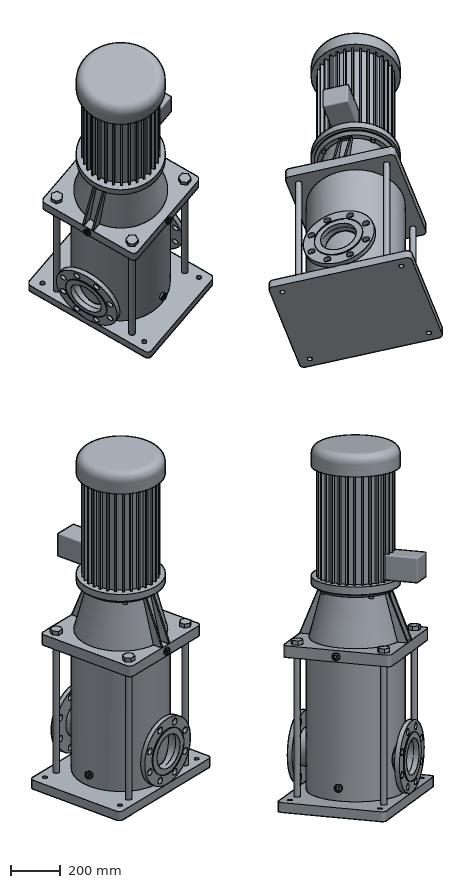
import cadquery as cq


base_length = 600.0
base_width = 462.0
base_thickness = 41.0
corner_radius = 20.0
base_hole_diameter = 20.0
base_hole_x = 250.0
base_hole_y = 193.0

sleeve_diameter = 400.0
rod_diameter = 27.0
rod_offset = 185.0
head_bottom = 630.0
head_top = 679.0
bolt_corner_diameter = 50.0
bolt_head_height = 18.0

port_height = 199.0
port_face = 245.0
raised_face_diameter = 203.0
raised_face_height = 5.0
flange_diameter = 300.0
flange_thickness = 21.0
pipe_diameter = 159.0
bore_diameter = 150.0
flange_hole_diameter = 28.0
flange_hole_circle = 249.0
flange_hole_count = 8

plug_boss_diameter = 28.0
plug_collar_diameter = 33.0
plug_pin_diameter = 15.0
plug_boss_length = 6.0
plug_collar_length = 3.0
plug_pin_length = 6.0
plug_root = 15.0
drain_plug_height = 98.0
drain_plug_standoff = 5.0

stool_base_diameter = 380.0
stool_top_diameter = 273.0
rib_thickness = 7.0
rib_outer_spacing = 53.0
rib_top_reach = 147.0
lug_height = 7.0

motor_bottom = 883.0
collar_bottom = 901.0
collar_top = 934.0
cap_bottom = 1393.0
motor_top = 1482.0
motor_diameter = 360.0
skirt_diameter = 335.0
skirt_bottom_diameter = 310.0
skirt_rim_height = 6.0
cap_fillet = 39.0
core_diameter = 288.0
fin_outer_diameter = 317.0
fin_thickness = 7.0
fin_count = 30
screw_diameter = 20.0
screw_offset = 104.0
screw_projection = 9.0

box_width = 107.0
box_bottom = 940.0
box_height = 105.0
box_reach = 285.0
box_fillet = 6.0


def disc(diameter, bottom, top):
    """Cylinder on the shaft axis."""
    return cq.Workplane("XY").workplane(offset=bottom).circle(diameter / 2).extrude(top - bottom)


def taper(bottom_diameter, top_diameter, bottom, top):
    """Cone frustum on the shaft axis."""
    outline = [(0, bottom), (bottom_diameter / 2, bottom), (top_diameter / 2, top), (0, top)]
    return cq.Workplane("XZ").polyline(outline).close().revolve(360, (0, 0, 0), (0, 1, 0))


def plate(length, width, bottom, top):
    """Flat plate with rounded corners."""
    blank = cq.Workplane("XY").workplane(offset=bottom).rect(length, width).extrude(top - bottom)
    return blank.edges("|Z").fillet(corner_radius)


def make_base():
    return (
        plate(base_length, base_width, 0, base_thickness)
        .faces(">Z")
        .workplane()
        .rect(2 * base_hole_x, 2 * base_hole_y, forConstruction=True)
        .vertices()
        .hole(base_hole_diameter)
    )


def make_pump_body():
    body = disc(sleeve_diameter, base_thickness, head_bottom)
    body = body.union(plate(base_width, base_width, head_bottom, head_top))
    rods = (
        cq.Workplane("XY")
        .workplane(offset=base_thickness)
        .rect(2 * rod_offset, 2 * rod_offset, forConstruction=True)
        .vertices()
        .circle(rod_diameter / 2)
        .extrude(head_bottom - base_thickness)
    )
    body = body.union(rods)
    for side, turn in ((-1, 0), (1, 90)):
        for end in (-1, 1):
            head = (
                cq.Workplane("XY")
                .polygon(6, bolt_corner_diameter)
                .extrude(bolt_head_height)
                .rotate((0, 0, 0), (0, 0, 1), turn)
                .translate((side * rod_offset, end * rod_offset, head_top))
            )
            body = body.union(head)
    return body


def make_port():
    """Flanged port on -Y, with the bore running in to the sleeve wall."""

    def ring(diameter, start, length):
        plane = cq.Workplane("XZ", origin=(0, -start, port_height))
        return plane.circle(diameter / 2).extrude(length)

    flange_front = port_face - raised_face_height
    flange_back = flange_front - flange_thickness
    port = ring(pipe_diameter, 0, flange_front)
    port = port.union(ring(flange_diameter, flange_back, flange_thickness))
    port = port.union(ring(raised_face_diameter, flange_front, raised_face_height))
    bolt_holes = (
        cq.Workplane("XZ", origin=(0, -flange_back, port_height))
        .polarArray(flange_hole_circle / 2, 180 / flange_hole_count, 360, flange_hole_count)
        .circle(flange_hole_diameter / 2)
        .extrude(flange_thickness)
    )
    bore = ring(bore_diameter, 0, port_face)
    sleeve = disc(sleeve_diameter, base_thickness, head_bottom)
    return port.cut(bolt_holes).cut(bore.cut(sleeve))


def make_plug(reach, height, angle):
    """Screw plug pointing outwards at the given angle about the shaft, seated at the given reach."""

    def stage(diameter, start, length):
        return cq.Workplane("YZ").workplane(offset=start).circle(diameter / 2).extrude(length)

    collar_start = reach + plug_boss_length
    pin_start = collar_start + plug_collar_length
    plug = stage(plug_boss_diameter, reach - plug_root, plug_root + plug_boss_length)
    plug = plug.union(stage(plug_collar_diameter, collar_start, plug_collar_length))
    plug = plug.union(stage(plug_pin_diameter, pin_start, plug_pin_length))
    return plug.translate((0, 0, height)).rotate((0, 0, 0), (0, 0, 1), angle)


def make_stool():
    stool = taper(stool_base_diameter, stool_top_diameter, head_top, motor_bottom)
    rib_outline = [
        (-base_width / 2, head_top),
        (base_width / 2, head_top),
        (rib_top_reach, motor_bottom),
        (-rib_top_reach, motor_bottom),
    ]
    inner_face = rib_outer_spacing / 2 - rib_thickness
    for start in (inner_face, -inner_face - rib_thickness):
        web = cq.Workplane("YZ").workplane(offset=start).polyline(rib_outline).close().extrude(rib_thickness)
        stool = stool.union(web)
    lug = (
        cq.Workplane("XY")
        .workplane(offset=motor_bottom - lug_height)
        .rect(2 * inner_face, 2 * rib_top_reach)
        .extrude(lug_height)
    )
    return stool.union(lug)


def make_motor():
    rim_bottom = collar_bottom - skirt_rim_height
    motor = taper(skirt_bottom_diameter, skirt_diameter, motor_bottom, rim_bottom)
    motor = motor.union(disc(skirt_diameter, rim_bottom, collar_bottom))
    motor = motor.union(disc(motor_diameter, collar_bottom, collar_top))
    motor = motor.union(disc(core_diameter, collar_top, cap_bottom))
    cap = disc(motor_diameter, cap_bottom, motor_top).faces(">Z").edges().fillet(cap_fillet)
    motor = motor.union(cap)

    for index in range(fin_count // 2):
        bar = (
            cq.Workplane("XY")
            .workplane(offset=collar_top)
            .rect(fin_thickness, fin_outer_diameter)
            .extrude(cap_bottom - collar_top)
            .rotate((0, 0, 0), (0, 0, 1), index * 360 / fin_count)
        )
        motor = motor.union(bar)

    screws = (
        cq.Workplane("XY")
        .workplane(offset=motor_bottom - screw_projection)
        .rect(2 * screw_offset, 2 * screw_offset, forConstruction=True)
        .vertices()
        .circle(screw_diameter / 2)
        .extrude(collar_bottom - motor_bottom + screw_projection)
    )
    return motor.union(screws)


def make_terminal_box():
    return (
        cq.Workplane("XY")
        .workplane(offset=box_bottom)
        .center(0, box_reach / 2)
        .rect(box_width, box_reach)
        .extrude(box_height)
        .edges(">Y or (|Y and (>X or <X))")
        .fillet(box_fillet)
    )


result = make_base().union(make_pump_body())

port = make_port()
for angle in (0, 180):
    result = result.union(port.rotate((0, 0, 0), (0, 0, 1), angle))

drain_reach = sleeve_diameter / 2 + drain_plug_standoff
for angle in (0, 180):
    result = result.union(make_plug(drain_reach, drain_plug_height, angle))
for angle in (0, -90):
    result = result.union(make_plug(base_width / 2, (head_bottom + head_top) / 2, angle))

result = result.union(make_stool()).union(make_motor()).union(make_terminal_box())